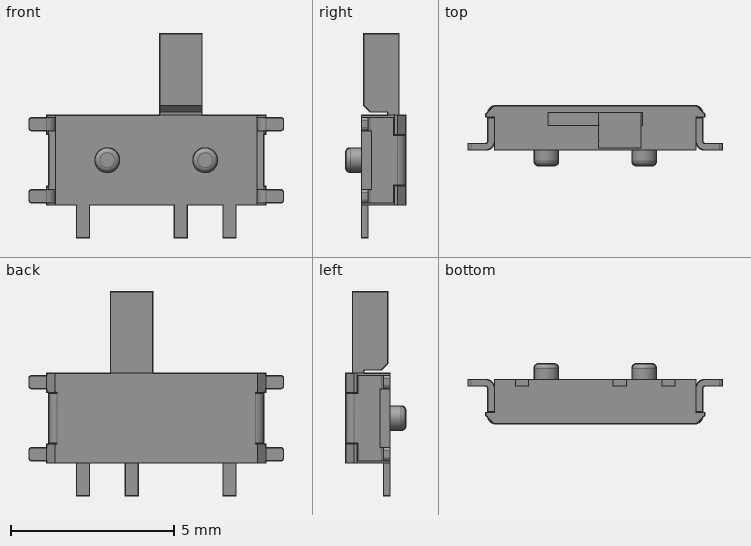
import cadquery as cq
import math


body_half_width = 3.09
body_depth = 1.365
body_height = 2.75
mid_height = body_height / 2

lug_half_width = 3.355
lug_front = 1.015
lug_edge = 0.09
lug_height = 0.585

sheet = 0.21
plate_outer = body_half_width + sheet
plate_margin = 0.07
plate_back = 0.99
plate_front = 0.31
tongue_gap = 0.03
wrap_radius = 0.26
lead_tip = 3.9
lead_width = 0.405
lead_inner_radius = 0.055
lead_outer_radius = lead_inner_radius + sheet
lead_tip_radius = 0.09

pitch = 1.5
pin_width = 0.405
pin_length = 1.0
pin_places = (-1.5 * pitch, 0.5 * pitch, 1.5 * pitch)
post_diameter = 0.76
post_length = 0.48
post_rounding = 0.15

slot_half_length = 1.44
slot_front = 0.75
slot_back = 1.155
slot_depth = 0.2
lever_left = 0.1
lever_width = 1.3
lever_front = 0.07
lever_height = 2.495
lever_clearance = 0.09
lever_chamfer = 0.2
stem_front = 0.8

cos_45 = math.sqrt(0.5)


def block(x_min, x_max, y_min, y_max, z_min, z_max):
    """Box given by its limits along each axis."""
    return cq.Workplane("XY").box(
        x_max - x_min, y_max - y_min, z_max - z_min, centered=False
    ).translate((x_min, y_min, z_min))


def make_housing():
    """Main block with a slot for the slider and a lug at each back corner."""
    core = block(-body_half_width, body_half_width, 0, body_depth, 0, body_height)
    core = core.edges("|Z and >Y").fillet(wrap_radius - sheet)

    lug_edge_back = lug_front + lug_edge
    lug_slope = body_depth - lug_edge_back
    lug_outline = [
        (-lug_half_width, lug_front),
        (lug_half_width, lug_front),
        (lug_half_width, lug_edge_back),
        (lug_half_width - lug_slope, body_depth),
        (-lug_half_width + lug_slope, body_depth),
        (-lug_half_width, lug_edge_back),
    ]
    for lug_bottom in (0, body_height - lug_height):
        lugs = cq.Workplane("XY").workplane(offset=lug_bottom)
        core = core.union(lugs.polyline(lug_outline).close().extrude(lug_height))

    slot = block(
        -slot_half_length, slot_half_length, slot_front, slot_back,
        body_height - slot_depth, body_height,
    )
    return core.cut(slot)


def make_lead(z_min):
    """Lead that bends outwards from the front of the right end plate."""
    bend_x = body_half_width + lead_outer_radius
    bend_y = lead_outer_radius
    outer_mid = (bend_x - lead_outer_radius * cos_45, bend_y - lead_outer_radius * cos_45)
    inner_mid = (bend_x - lead_inner_radius * cos_45, bend_y - lead_inner_radius * cos_45)
    lead = (
        cq.Workplane("XY").workplane(offset=z_min)
        .moveTo(body_half_width, plate_front)
        .lineTo(body_half_width, bend_y)
        .threePointArc(outer_mid, (bend_x, 0))
        .lineTo(lead_tip, 0)
        .lineTo(lead_tip, sheet)
        .lineTo(bend_x, sheet)
        .threePointArc(inner_mid, (plate_outer, bend_y))
        .lineTo(plate_outer, plate_front)
        .close()
        .extrude(lead_width)
    )
    return lead.edges("|Y and >X").fillet(lead_tip_radius)


def make_end_plate():
    """Right end plate: flat sheet, tongue wrapped round the back corner, two leads."""
    plate_top = body_height - plate_margin
    plate = block(body_half_width, plate_outer, plate_front, plate_back, plate_margin, plate_top)

    tongue_bottom = lug_height + tongue_gap
    tongue_height = body_height - 2 * tongue_bottom
    wrap_x = plate_outer - wrap_radius
    wrap_y = body_depth - wrap_radius
    wrap_mid = wrap_radius * cos_45
    tongue = (
        cq.Workplane("XY").workplane(offset=tongue_bottom)
        .moveTo(wrap_x, plate_back)
        .lineTo(plate_outer, plate_back)
        .lineTo(plate_outer, wrap_y)
        .threePointArc((wrap_x + wrap_mid, wrap_y + wrap_mid), (wrap_x, body_depth))
        .close()
        .extrude(tongue_height)
    )
    plate = plate.union(tongue)

    for lead_bottom in (plate_margin, plate_top - lead_width):
        plate = plate.union(make_lead(lead_bottom))
    return plate


def make_pin(x):
    """Flat terminal pin below the housing, flush with the front face."""
    return block(x - pin_width / 2, x + pin_width / 2, 0, sheet, -pin_length, 0)


def make_post(x):
    """Round locating post on the front face with a rounded end."""
    post = cq.Workplane("XZ").center(x, mid_height).circle(post_diameter / 2).extrude(post_length)
    return post.faces("<Y").edges().fillet(post_rounding)


def make_slider():
    """Lever overhanging the front of its stem, which stands in the slot."""
    slot_floor = body_height - slot_depth
    lever_bottom = body_height + lever_clearance
    lever_top = body_height + lever_height
    slider_outline = [
        (slot_back, slot_floor),
        (slot_back, lever_top),
        (lever_front, lever_top),
        (lever_front, lever_bottom + lever_chamfer),
        (lever_front + lever_chamfer, lever_bottom),
        (stem_front, lever_bottom),
        (stem_front, slot_floor),
    ]
    slider = cq.Workplane("YZ").workplane(offset=lever_left)
    return slider.polyline(slider_outline).close().extrude(lever_width)


result = make_housing().union(make_slider())

end_plate = make_end_plate()
result = result.union(end_plate).union(end_plate.mirror("YZ"))

for pin_x in pin_places:
    result = result.union(make_pin(pin_x))

for post_x in (-pitch, pitch):
    result = result.union(make_post(post_x))